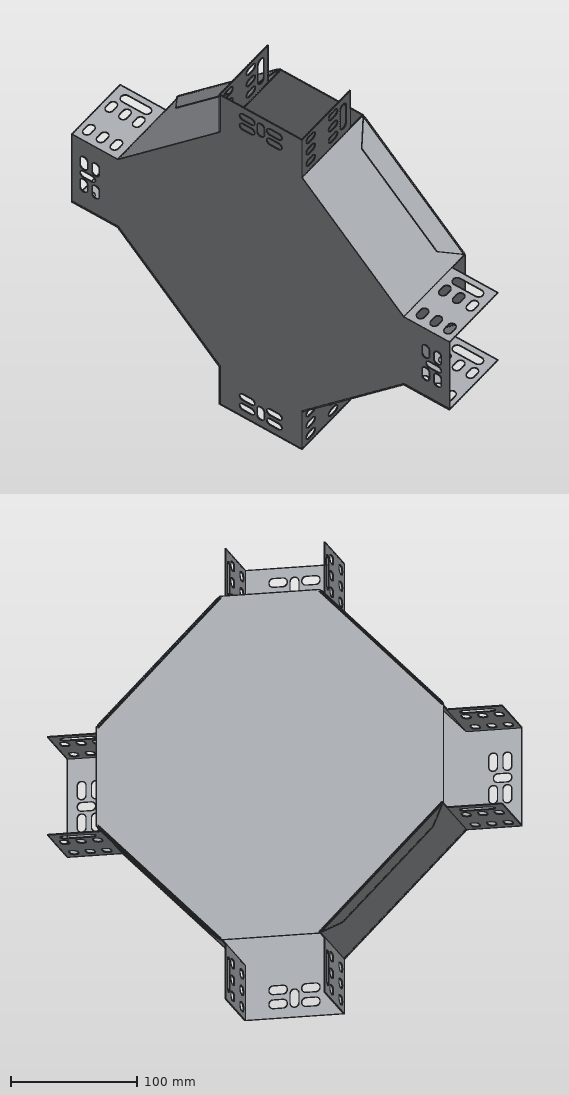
import cadquery as cq
import math

arm_count = 4
sheet = 0.8
span = 371.34
channel_width = 81.6
total_depth = 81.6

half_span = span / 2
half_width = channel_width / 2
floor_y = -total_depth / 2
lid_top_y = total_depth / 2
wall_top_y = lid_top_y - sheet

arm_length = 45
shoulder = half_span - arm_length
flange_height = 65
flange_top_y = floor_y + flange_height

floor_slot_length = 15
floor_slot_width = 7.2
floor_slot_rows = (11.8, 23.4)
floor_slot_offset = 13.4
centre_slot_distance = 15.7

flange_slot_length = 12
flange_slot_width = 7
flange_slot_distances = (8.2, 21.7, 35.2)
flange_slot_heights = (12, 42)
long_slot_length = 29
long_slot_width = 8
long_slot_distance = arm_length / 2
long_slot_height = 55.5

flap_clearance = 0.4
wall_distance = (shoulder + half_width) / math.sqrt(2)
flap_face_distance = wall_distance + flap_clearance + sheet
lid_end = shoulder + sheet * math.sqrt(2)
flap_depth = 20
flap_length = 138.6
flap_shoulder = 2 * sheet
flap_corner_inset = 17


def turned(body, quarter):
    """Turn a body about Y by a number of quarter turns."""
    return body.rotate((0, 0, 0), (0, 1, 0), quarter * 360 / arm_count)


def plate(points, start_y, end_y):
    """A prism over an outline of (x, z) points, from start_y to end_y."""
    plane = cq.Plane(origin=(0, start_y, 0), xDir=(1, 0, 0), normal=(0, -1, 0))
    return cq.Workplane(plane).polyline(points).close().extrude(start_y - end_y)


def octagon(end, half):
    """Square with cut corners: four flat sides of width 2*half at a distance `end`."""
    points = [(end, half), (half, end)]
    points += [(-x, z) for x, z in reversed(points)]
    return points + [(-x, -z) for x, z in points]


def arm_block(half, start_y, end_y):
    """A bar along X, from the centre to the end of the +X arm."""
    return plate([(0, -half), (half_span, -half), (half_span, half), (0, half)], start_y, end_y)


def arm_slots():
    """Cutters for the slots of the +X arm."""
    floor_origin = (half_span, floor_y, 0)
    floor_plane = cq.Workplane(cq.Plane(origin=floor_origin, xDir=(1, 0, 0), normal=(0, -1, 0)))
    rows = [(-row, side * floor_slot_offset) for row in floor_slot_rows for side in (-1, 1)]
    upright_slots = floor_plane.pushPoints(rows).slot2D(floor_slot_length, floor_slot_width, 90)
    cutters = upright_slots.extrude(sheet, both=True)
    centre_slot = floor_plane.center(-centre_slot_distance, 0).slot2D(floor_slot_length, floor_slot_width)
    cutters = cutters.add(centre_slot.extrude(sheet, both=True))

    flange_plane = cq.Workplane("XY", origin=(half_span, floor_y, 0))
    grid = [(-distance, height) for distance in flange_slot_distances for height in flange_slot_heights]
    short_slots = flange_plane.pushPoints(grid).slot2D(flange_slot_length, flange_slot_width, 90)
    cutters = cutters.add(short_slots.extrude(channel_width, both=True))
    long_slot = flange_plane.center(-long_slot_distance, long_slot_height)
    long_slot = long_slot.slot2D(long_slot_length, long_slot_width)
    return cutters.add(long_slot.extrude(channel_width, both=True)).combine()


def build_tray():
    """Floor with four arms, their flanges and the four diagonal walls."""
    inner_half = half_width - sheet
    inner_end = shoulder + half_width - sheet * math.sqrt(2) - inner_half
    inner_floor_y = floor_y + sheet

    body = plate(octagon(shoulder, half_width), floor_y, wall_top_y)
    cavity = plate(octagon(inner_end, inner_half), inner_floor_y, wall_top_y)
    for quarter in range(arm_count):
        body = body.union(turned(arm_block(half_width, floor_y, flange_top_y), quarter))
        cavity = cavity.union(turned(arm_block(inner_half, inner_floor_y, wall_top_y), quarter))
    body = body.cut(cavity)
    for quarter in range(arm_count):
        body = body.cut(turned(arm_slots(), quarter))
    return body


def lid_flap():
    """Trapezoid flap outside the diagonal wall that faces +X and +Z."""
    diagonal = math.sqrt(0.5)
    face_plane = cq.Plane(
        origin=(flap_face_distance * diagonal, lid_top_y, flap_face_distance * diagonal),
        xDir=(diagonal, 0, -diagonal),
        normal=(diagonal, 0, diagonal),
    )
    half = flap_length / 2
    tip_half = half - flap_corner_inset
    outline = [
        (-half, 0),
        (-half, -flap_shoulder),
        (-tip_half, -flap_depth),
        (tip_half, -flap_depth),
        (half, -flap_shoulder),
        (half, 0),
    ]
    return cq.Workplane(face_plane).polyline(outline).close().extrude(-sheet)


def build_lid():
    """Octagonal plate with a flap on each slanted edge."""
    lid = plate(octagon(lid_end, half_width), wall_top_y, lid_top_y)
    for quarter in range(arm_count):
        lid = lid.union(turned(lid_flap(), quarter))
    return lid


tray = build_tray()
lid = build_lid()

result = cq.Compound.makeCompound([tray.val(), lid.val()])